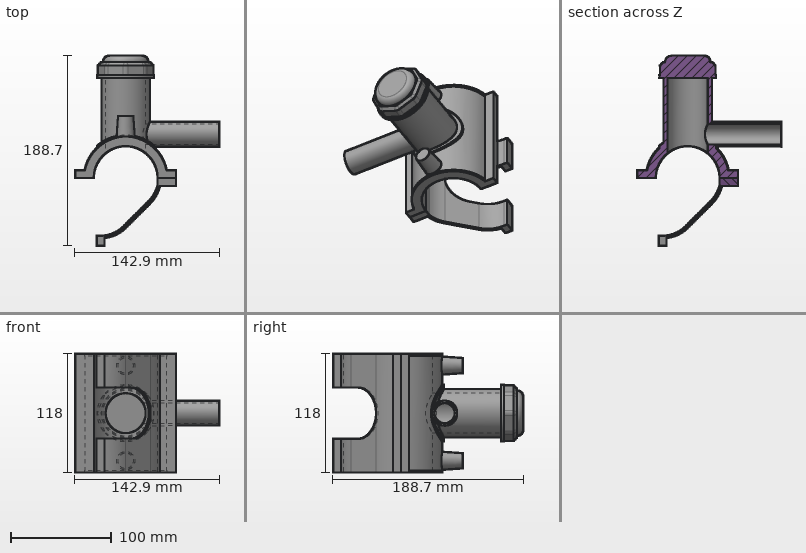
import cadquery as cq
import math


length = 118.0
bore_radius = 31.5
body_radius = 41.2
rim_radius = 41.5
rim_width = 2.3
flange_half_width = 50.0
flange_thickness = 8.0

branch_diameter = 48.3
branch_bore_diameter = 39.6
collar_diameter = 56.6
collar_radius = 42.7

cap_start = 99.1
cap_flange_height = 3.0
nut_height = 12.8
dome_height = 6.6
cap_diameter = 56.6
nut_sides = 8
nut_corner_fillet = 6.6
nut_chamfer = 3.4
dome_diameter = 45.3

pipe_diameter = 25.0
pipe_bore_diameter = 20.0
pipe_height = 43.5
pipe_end = 92.9

boss_tip_diameter = 15.3
boss_root_diameter = 18.9
boss_tip = 61.5
boss_root = 35.9
boss_offset = 47.2

strap_radius = 32.3
strap_thickness = 2.6
flat_angle = -45
hook_angle = -90
bend_shift = 24.7
hook_width = 8.0
hook_height = 10.2
window_width = 50.5


def slab(x_min, x_max, y_min, y_max):
    """Full length box between the given X and Y limits."""
    box = cq.Workplane("XY").box(x_max - x_min, y_max - y_min, length, centered=(False, False, True))
    return box.translate((x_min, y_min, 0))


def cylinder_z(radius, height):
    """Cylinder along Z, centred on Z = 0."""
    return cq.Workplane("XY", origin=(0, 0, -height / 2)).circle(radius).extrude(height)


def cylinder_y(diameter, y_start, y_end):
    """Cylinder on the branch axis between two Y positions."""
    return cq.Workplane("XZ", origin=(0, y_start, 0)).circle(diameter / 2).extrude(y_start - y_end)


def cylinder_x(diameter, x_end):
    """Cylinder on the side pipe axis, from the branch axis to x_end."""
    return cq.Workplane("YZ").center(pipe_height, 0).circle(diameter / 2).extrude(x_end)


def make_shell():
    """Half round saddle with end rims and two flanges, still without its main bore."""
    shell = cylinder_z(body_radius, length)
    rim = cylinder_z(rim_radius, rim_width)
    rim_offset = (length - rim_width) / 2
    for z in (-rim_offset, rim_offset):
        shell = shell.union(rim.translate((0, 0, z)))
    upper_half = slab(-flange_half_width, flange_half_width, 0, rim_radius)
    flanges = slab(-flange_half_width, flange_half_width, 0, flange_thickness)
    return shell.intersect(upper_half).union(flanges)


def make_collar():
    """Thin pad round the branch, following the saddle surface."""
    return cylinder_y(collar_diameter, 0, cap_start).intersect(cylinder_z(collar_radius, length))


def make_boss(z):
    """Tapered boss pointing along +Y."""
    boss_length = boss_tip - boss_root
    cone = cq.Solid.makeCone(
        boss_root_diameter / 2,
        boss_tip_diameter / 2,
        boss_length,
        pnt=cq.Vector(0, boss_root, z),
        dir=cq.Vector(0, 1, 0),
    )
    return cq.Workplane(cone)


def make_dome(start):
    """Flat topped dome whose edge is a quarter round over its whole height."""
    base_radius = dome_diameter / 2
    round_centre = base_radius - dome_height
    round_reach = dome_height * math.sqrt(0.5)
    return (
        cq.Workplane("XY")
        .moveTo(0, start)
        .lineTo(base_radius, start)
        .threePointArc(
            (round_centre + round_reach, start + round_reach),
            (round_centre, start + dome_height),
        )
        .lineTo(0, start + dome_height)
        .close()
        .revolve(360, (0, 0, 0), (0, 1, 0))
    )


def make_cap():
    """Round flange, octagonal nut with a vertex on each axis, and a domed top."""
    nut_start = cap_start + cap_flange_height
    dome_start = nut_start + nut_height
    nut = (
        cq.Workplane("XZ", origin=(0, nut_start, 0))
        .polygon(nut_sides, cap_diameter)
        .extrude(-nut_height)
        .edges("|Y")
        .fillet(nut_corner_fillet)
        .faces(">Y")
        .chamfer(nut_chamfer)
    )
    return cylinder_y(cap_diameter, cap_start, nut_start).union(nut).union(make_dome(dome_start))


def make_saddle():
    """Saddle body: every outer feature first, then the three bores."""
    saddle = make_shell().union(make_collar())
    saddle = saddle.union(cylinder_y(branch_diameter, 0, cap_start))
    saddle = saddle.union(cylinder_x(pipe_diameter, pipe_end))
    for z in (-boss_offset, boss_offset):
        saddle = saddle.union(make_boss(z))
    saddle = saddle.union(make_cap())
    saddle = saddle.cut(cylinder_z(bore_radius, length))
    saddle = saddle.cut(cylinder_y(branch_bore_diameter, 0, cap_start))
    return saddle.cut(cylinder_x(pipe_bore_diameter, pipe_end))


def bend_point(centre, radius, angle):
    """Point on a strap bend; the angle in degrees is measured from +X."""
    turn = math.radians(angle)
    return (centre[0] + radius * math.cos(turn), centre[1] + radius * math.sin(turn))


def make_strap_band():
    """Thin band: a bend round the main pipe, a 45 degree flat, and a second equal bend."""
    first = (0, 0)
    second = (-bend_shift, -bend_shift)
    inner = strap_radius
    outer = strap_radius + strap_thickness
    first_middle = flat_angle / 2
    second_middle = (flat_angle + hook_angle) / 2
    return (
        cq.Workplane("XY", origin=(0, 0, -length / 2))
        .moveTo(*bend_point(first, inner, 0))
        .threePointArc(bend_point(first, inner, first_middle), bend_point(first, inner, flat_angle))
        .lineTo(*bend_point(second, inner, flat_angle))
        .threePointArc(bend_point(second, inner, second_middle), bend_point(second, inner, hook_angle))
        .lineTo(*bend_point(second, outer, hook_angle))
        .threePointArc(bend_point(second, outer, second_middle), bend_point(second, outer, flat_angle))
        .lineTo(*bend_point(first, outer, flat_angle))
        .threePointArc(bend_point(first, outer, first_middle), bend_point(first, outer, 0))
        .close()
        .extrude(length)
    )


def make_window():
    """Slot cut square through the flat, round at the flange end and open at the hook end."""
    bend_end = bend_point((0, 0), strap_radius, flat_angle)
    plane = cq.Plane(
        origin=(bend_end[0], bend_end[1], 0),
        xDir=(-1, -1, 0),
        normal=(1, -1, 0),
    )
    round_radius = window_width / 2
    reach = 2 * length
    depth = length / 2
    rounded_end = cq.Workplane(plane).center(round_radius, 0).circle(round_radius).extrude(depth, both=True)
    open_centre = round_radius + reach / 2
    open_part = cq.Workplane(plane).center(open_centre, 0).rect(reach, window_width).extrude(depth, both=True)
    return rounded_end.union(open_part)


def make_strap():
    """Strap body: clamping flange, thin band and hook, split by the window."""
    flange = slab(bore_radius, flange_half_width, -flange_thickness, 0)
    hook_top = -bend_shift - strap_radius
    hook = slab(
        -bend_shift - hook_width / 2,
        -bend_shift + hook_width / 2,
        hook_top - hook_height,
        hook_top,
    )
    return make_strap_band().union(flange).union(hook).cut(make_window())


saddle = make_saddle()
strap = make_strap()
result = cq.Compound.makeCompound([saddle.solids().val(), strap.solids().val()])